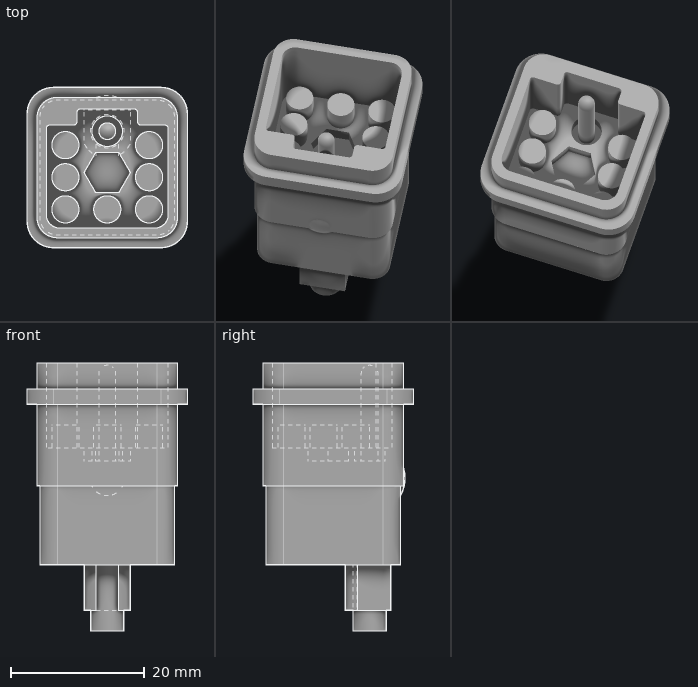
import cadquery as cq
import math


UPPER_SIDE = 21.0
UPPER_CORNER = 3.05
LOWER_SIDE = 20.15
LOWER_CORNER = UPPER_CORNER - (UPPER_SIDE - LOWER_SIDE) / 2
STEP_Z = -18.4
BODY_BOTTOM_Z = -30.2

FLANGE_SIDE = 24.0
FLANGE_CORNER = 4.0
FLANGE_TOP_Z = -3.9
FLANGE_THICKNESS = 2.3

CAVITY_DEPTH = 12.7
CAVITY_FLOOR_Z = -CAVITY_DEPTH
CAVITY_WIDTH = 18.2
CAVITY_FRONT_Y = -9.05
CAVITY_BACK_Y = 6.35
CAVITY_FRONT_CORNER = 2.0
NOTCH_WIDTH = 9.05
NOTCH_BACK_Y = 8.75
NOTCH_CORNER = 0.5

POST_RADIUS = 2.03
POST_HEIGHT = 3.4
POST_COLUMN_X = 6.25
POST_PITCH_Y = 4.8
POST_FRONT_Y = -6.25
POSTS_PER_COLUMN = 3

HEX_ACROSS_FLATS = 6.0
HEX_CENTER_Y = -0.75
SOCKET_DEPTH = 2.0

EARTH_Y = 5.43
EARTH_PIN_RADIUS = 1.25
EARTH_PIN_TIP_Z = -0.35
EARTH_RECESS_RADIUS = 2.28
SHANK_RADIUS = 2.5
SHANK_BOTTOM_Z = -40.1

SHROUD_WIDTH = 6.9
SHROUD_BACK_Y = 8.6
SHROUD_BOTTOM_Z = -37.0
SHROUD_FRONT_RADIUS = 3.8
SHROUD_FRONT_CENTER_Y = 5.2
SHROUD_SLOT_WIDTH = 3.3

BUMP_SPHERE_RADIUS = 5.3
BUMP_CREST_Y = UPPER_SIDE / 2 + 0.25
BUMP_CENTER_Z = -17.25
BUMP_ROOT_Y = 9.5


def rounded_square(side, corner, top_z, bottom_z):
    """Square prism about the Z axis with rounded vertical edges."""
    prism = cq.Workplane("XY").workplane(offset=bottom_z).rect(side, side).extrude(top_z - bottom_z)
    return prism.edges("|Z").fillet(corner)


def cylinder(x, y, radius, bottom_z, top_z):
    """Vertical cylinder between two heights."""
    return cq.Workplane("XY", origin=(x, y, bottom_z)).circle(radius).extrude(top_z - bottom_z)


def block(width, front_y, back_y, bottom_z, top_z):
    """Box centred on X = 0 between two Y positions and two heights."""
    return cq.Workplane("XY").box(
        width, back_y - front_y, top_z - bottom_z, centered=(True, False, False)
    ).translate((0, front_y, bottom_z))


def make_housing():
    upper = rounded_square(UPPER_SIDE, UPPER_CORNER, 0, STEP_Z)
    lower = rounded_square(LOWER_SIDE, LOWER_CORNER, STEP_Z, BODY_BOTTOM_Z)
    flange = rounded_square(FLANGE_SIDE, FLANGE_CORNER, FLANGE_TOP_Z, FLANGE_TOP_Z - FLANGE_THICKNESS)
    return upper.union(lower).union(flange)


def make_cavity():
    main = block(CAVITY_WIDTH, CAVITY_FRONT_Y, CAVITY_BACK_Y, CAVITY_FLOOR_Z, 0)
    main = main.edges("|Z and <Y").fillet(CAVITY_FRONT_CORNER)
    notch = block(NOTCH_WIDTH, 0, NOTCH_BACK_Y, CAVITY_FLOOR_Z, 0)
    cavity = main.union(notch)
    notch_region = cq.selectors.BoxSelector(
        (-CAVITY_WIDTH, CAVITY_BACK_Y - NOTCH_CORNER, -CAVITY_DEPTH),
        (CAVITY_WIDTH, NOTCH_BACK_Y + NOTCH_CORNER, 0),
    )
    return cavity.edges("|Z").edges(notch_region).fillet(NOTCH_CORNER)


def post_positions():
    positions = [(0, POST_FRONT_Y)]
    for x in (-POST_COLUMN_X, POST_COLUMN_X):
        for row in range(POSTS_PER_COLUMN):
            positions.append((x, POST_FRONT_Y + row * POST_PITCH_Y))
    return positions


def make_posts():
    posts = cq.Workplane("XY").workplane(offset=CAVITY_FLOOR_Z).pushPoints(post_positions())
    return posts.circle(POST_RADIUS).extrude(POST_HEIGHT)


def make_hex_socket():
    across_corners = HEX_ACROSS_FLATS / math.cos(math.pi / 6)
    floor_plane = cq.Workplane("XY", origin=(0, HEX_CENTER_Y, CAVITY_FLOOR_Z))
    return floor_plane.polygon(6, across_corners).extrude(-SOCKET_DEPTH)


def make_earth_recess():
    return cylinder(0, EARTH_Y, EARTH_RECESS_RADIUS, CAVITY_FLOOR_Z - SOCKET_DEPTH, CAVITY_FLOOR_Z)


def make_earth_pin():
    nose_z = EARTH_PIN_TIP_Z - EARTH_PIN_RADIUS
    pin = cylinder(0, EARTH_Y, EARTH_PIN_RADIUS, CAVITY_FLOOR_Z - SOCKET_DEPTH, nose_z)
    nose = cq.Workplane("XY").sphere(EARTH_PIN_RADIUS).translate((0, EARTH_Y, nose_z))
    return pin.union(nose)


def make_shroud():
    half_width = SHROUD_WIDTH / 2
    tip_y = SHROUD_FRONT_CENTER_Y - SHROUD_FRONT_RADIUS
    shoulder_y = SHROUD_FRONT_CENTER_Y - math.sqrt(SHROUD_FRONT_RADIUS**2 - half_width**2)
    shroud = (
        cq.Workplane("XY")
        .workplane(offset=SHROUD_BOTTOM_Z)
        .moveTo(-half_width, SHROUD_BACK_Y)
        .lineTo(-half_width, shoulder_y)
        .threePointArc((0, tip_y), (half_width, shoulder_y))
        .lineTo(half_width, SHROUD_BACK_Y)
        .close()
        .extrude(BODY_BOTTOM_Z - SHROUD_BOTTOM_Z)
    )
    slot = block(SHROUD_SLOT_WIDTH, tip_y, EARTH_Y, SHROUD_BOTTOM_Z, BODY_BOTTOM_Z)
    return shroud.cut(slot)


def make_shank():
    return cylinder(0, EARTH_Y, SHANK_RADIUS, SHANK_BOTTOM_Z, BODY_BOTTOM_Z)


def make_bump():
    center_y = BUMP_CREST_Y - BUMP_SPHERE_RADIUS
    sphere = cq.Workplane("XY").sphere(BUMP_SPHERE_RADIUS).translate((0, center_y, BUMP_CENTER_Z))
    cap_region = block(
        2 * BUMP_SPHERE_RADIUS,
        BUMP_ROOT_Y,
        BUMP_CREST_Y,
        BUMP_CENTER_Z - BUMP_SPHERE_RADIUS,
        BUMP_CENTER_Z + BUMP_SPHERE_RADIUS,
    )
    return sphere.intersect(cap_region)


housing = make_housing().union(make_bump())
housing = housing.cut(make_cavity()).cut(make_hex_socket()).cut(make_earth_recess())
result = housing.union(make_posts()).union(make_earth_pin()).union(make_shroud()).union(make_shank())